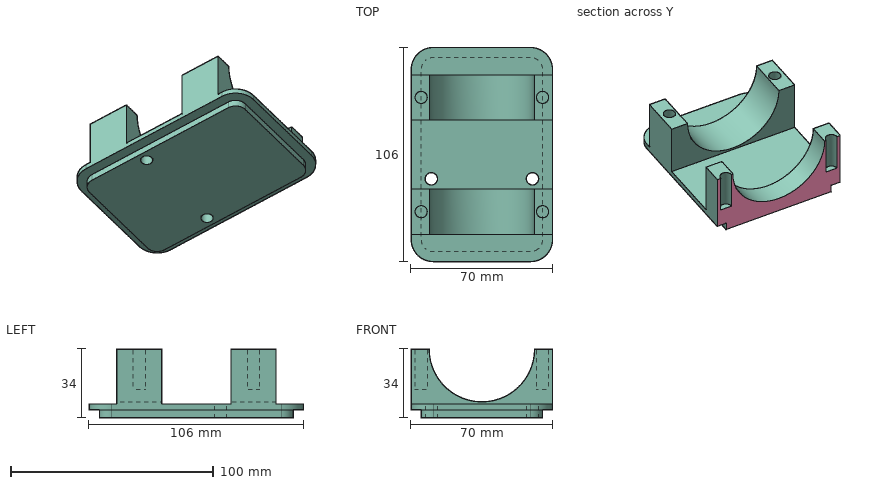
import cadquery as cq

PLATE_WIDTH = 70.0
PLATE_LENGTH = 106.0
PLATE_THICKNESS = 3.0
PLATE_CORNER_RADIUS = 11.0
PLUG_INSET = 5.0
PLUG_HEIGHT = 4.0

TOTAL_HEIGHT = 34.0
SADDLE_LENGTH = 22.3
SADDLE_SPACING = 56.5
CRADLE_RADIUS = 26.0

SCREW_HOLE_DIAMETER = 6.0
SCREW_HOLE_SPACING = 60.0
SCREW_HOLE_DEPTH = 20.0

BASE_HOLE_DIAMETER = 6.0
BASE_HOLE_SPACING = 50.0
BASE_HOLE_Y = -12.0

BASE_TOP = PLUG_HEIGHT + PLATE_THICKNESS
SADDLE_HEIGHT = TOTAL_HEIGHT - BASE_TOP


def rounded_slab(width, length, thickness, corner_radius, bottom):
    """Flat slab with rounded vertical corners, centred on the Z axis."""
    slab = cq.Workplane("XY").workplane(offset=bottom).rect(width, length).extrude(thickness)
    return slab.edges("|Z").fillet(corner_radius)


def make_base():
    """Plug with the wider plate on top of it; the rim is equally wide all round."""
    plug = rounded_slab(
        PLATE_WIDTH - 2 * PLUG_INSET,
        PLATE_LENGTH - 2 * PLUG_INSET,
        PLUG_HEIGHT,
        PLATE_CORNER_RADIUS - PLUG_INSET,
        0,
    )
    plate = rounded_slab(PLATE_WIDTH, PLATE_LENGTH, PLATE_THICKNESS, PLATE_CORNER_RADIUS, PLUG_HEIGHT)
    return plug.union(plate)


def make_saddle(center_y):
    """Block across the plate with a half-round cradle and a screw hole on each side."""
    block = (
        cq.Workplane("XY")
        .workplane(offset=BASE_TOP)
        .center(0, center_y)
        .rect(PLATE_WIDTH, SADDLE_LENGTH)
        .extrude(SADDLE_HEIGHT)
    )
    cradle = (
        cq.Workplane("XZ", origin=(0, center_y + SADDLE_LENGTH / 2, TOTAL_HEIGHT))
        .circle(CRADLE_RADIUS)
        .extrude(SADDLE_LENGTH)
    )
    screw_holes = (
        cq.Workplane("XY", origin=(0, center_y, TOTAL_HEIGHT))
        .rarray(SCREW_HOLE_SPACING, 1, 2, 1)
        .circle(SCREW_HOLE_DIAMETER / 2)
        .extrude(-SCREW_HOLE_DEPTH)
    )
    return block.cut(cradle).cut(screw_holes)


def make_base_holes():
    """Pair of cylinders that pierce both the plate and the plug."""
    return (
        cq.Workplane("XY", origin=(0, BASE_HOLE_Y, 0))
        .rarray(BASE_HOLE_SPACING, 1, 2, 1)
        .circle(BASE_HOLE_DIAMETER / 2)
        .extrude(BASE_TOP)
    )


result = make_base().cut(make_base_holes())
for side in (-1, 1):
    result = result.union(make_saddle(side * SADDLE_SPACING / 2))